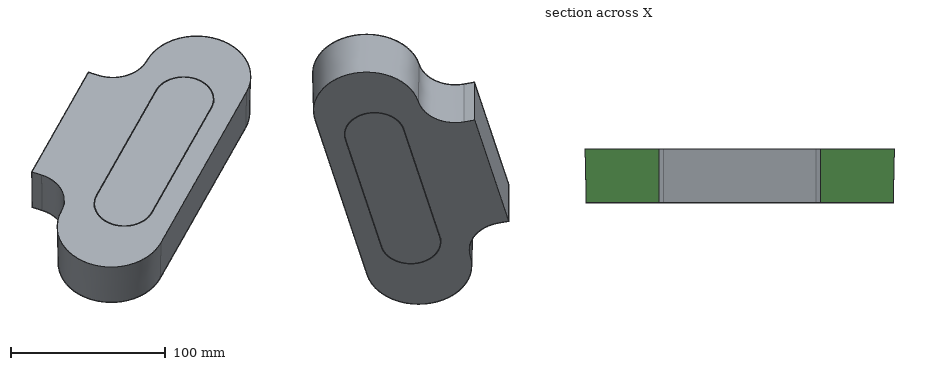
import cadquery as cq
import math

length = 211.8
width = 100.8
height = 35.0
draft_angle = 1.0

end_radius = 35.0
tab_half_width = 47.0
end_center_y = length / 2 - end_radius
bar_center_x = width / 2 - end_radius
tab_face_x = -width / 2
fillet_radius = end_center_y - tab_half_width
fillet_center_x = bar_center_x - end_radius - fillet_radius

slot_radius = 19.5
slot_length = 137.5
insert_clearance = 0.32


def body_outline(plane, inset):
    """Add the closed body outline, with every wall but the tab face moved inward by inset."""
    end_r = end_radius - inset
    fillet_r = fillet_radius + inset
    left_x = bar_center_x - end_r
    right_x = bar_center_x + end_r
    tip_y = end_center_y + end_r
    tab_y = end_center_y - fillet_r
    fillet_mid_x = fillet_center_x + fillet_r * math.cos(math.radians(45))
    fillet_mid_y = end_center_y - fillet_r * math.sin(math.radians(45))
    return (
        plane.moveTo(tab_face_x, -tab_y)
        .lineTo(fillet_center_x, -tab_y)
        .threePointArc((fillet_mid_x, -fillet_mid_y), (left_x, -end_center_y))
        .threePointArc((bar_center_x, -tip_y), (right_x, -end_center_y))
        .lineTo(right_x, end_center_y)
        .threePointArc((bar_center_x, tip_y), (left_x, end_center_y))
        .threePointArc((fillet_mid_x, fillet_mid_y), (fillet_center_x, tab_y))
        .lineTo(tab_face_x, tab_y)
        .close()
    )


def drafted_body():
    """Solid tapering downward from the top outline, with a plumb tab face."""
    bottom_inset = height * math.tan(math.radians(draft_angle))
    bottom = body_outline(cq.Workplane("XY").workplane(offset=-height / 2), bottom_inset)
    both = body_outline(bottom.workplane(offset=height), 0)
    return both.loft(ruled=True)


def rounded_bar(bar_length, radius):
    """Upright full-height bar with semicircular ends, centered in the body's rounded bar."""
    return (
        cq.Workplane("XY")
        .workplane(offset=-height / 2)
        .center(bar_center_x, 0)
        .slot2D(bar_length, 2 * radius, 90)
        .extrude(height)
    )


def make_housing():
    """Body with the slot passing through it."""
    return drafted_body().cut(rounded_bar(slot_length, slot_radius))


def make_insert():
    """Insert standing in the slot with an even gap all around."""
    return rounded_bar(slot_length - 2 * insert_clearance, slot_radius - insert_clearance)


housing = make_housing()
insert = make_insert()

result = cq.Compound.makeCompound([housing.solids().val(), insert.val()])